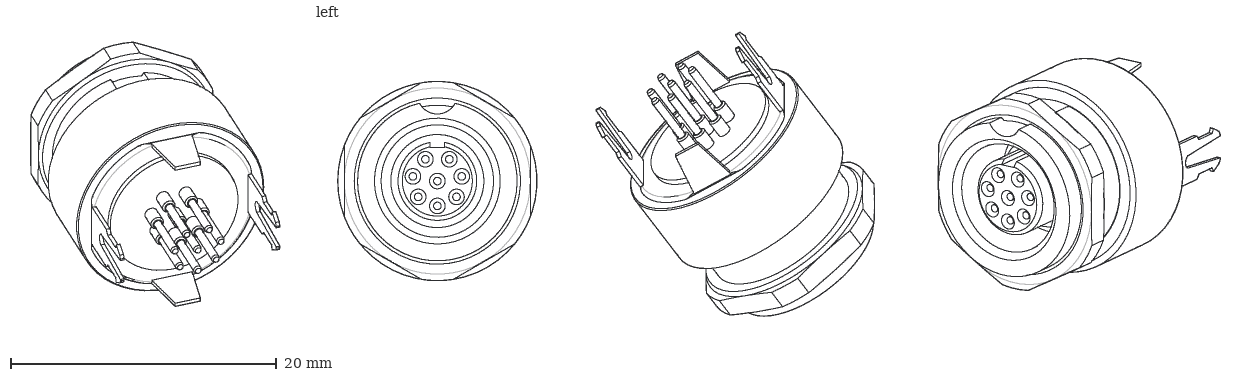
import cadquery as cq
import math


barrel_dia = 12.0
body_dia = 15.0
body_front_x = 6.6
body_rear_x = 12.9
body_edge_chamfer = 0.1
seal_cord_dia = 1.0
seal_front_x = 6.3

keyway_radius = 1.5
keyway_bottom_z = 5.04

bore_dia = 8.46
bore_chamfer = 0.5
bore_depth = 6.0
floor_step_dia = 7.0
floor_step_height = 1.0

insert_dia = 5.92
insert_face_x = 0.5
insert_face_dia = 5.27
insert_chamfer_length = 0.33
insert_notch_width = 1.11
insert_notch_floor_z = 2.53

contact_circle_radius = 1.87
outer_contact_count = 7
outer_contact_pitch = 50.4
socket_mouth_dia = 1.17
socket_hole_dia = 0.57
socket_cone_depth = 0.3
socket_depth = 4.0
socket_tip_angle = 118
pin_collar_dia = 1.0
pin_collar_end_x = 15.1
pin_collar_chamfer = 0.13
pin_dia = 0.6
pin_end_x = 18.94
pin_tip_length = 0.2
pin_tip_inset = 0.07

nut_front_x = 1.4
nut_hex_length = 1.7
nut_flats = 14.0
nut_corner_dia = 15.0
nut_edge_chamfer_length = 0.08
nut_collar_length = 0.34
nut_collar_end_dia = 13.58
nut_bore_dia = 11.4
nut_countersink_dia = 12.5
nut_countersink_angle = 120

plate_dia = 13.5
plate_thickness = 0.3
plate_rear_radius = 0.295
plate_flats = 12.78
plate_bend_radius = 0.17
tab_thickness = 0.3
plate_rear_x = body_rear_x + plate_thickness

tapered_tab_end_x = 16.65
tapered_tab_root_half = 1.62
tapered_tab_end_half = 1.01

fork_half_width = 1.72
fork_end_x = 19.35
fork_neck_half_width = 1.37
fork_shoulder_x = 16.26
fork_neck_start_x = 16.56
fork_neck_end_x = 18.28
fork_barb_x = 18.45
fork_nose_x = 19.2
fork_nose_half_width = 1.27
fork_tip_outer_half = 1.0
fork_slot_bottom_x = 14.76
fork_slot_start_x = 15.08
fork_slot_start_half = 0.49
fork_slot_end_half = 0.87

insulator_dia = 10.25
insulator_rear_x = 13.66


def cylinder(dia, start_x, end_x, y=0, z=0):
    """Cylinder along X between two stations."""
    disc = cq.Workplane("YZ", origin=(start_x, y, z)).circle(dia / 2)
    return disc.extrude(end_x - start_x)


def revolve_profile(points):
    """Solid of revolution about X from (x, radius) points."""
    axis_start = (0, 0, 0)
    axis_end = (1, 0, 0)
    return cq.Workplane("XY").polyline(points).close().revolve(360, axis_start, axis_end)


def contact_positions():
    """(y, z) of the central contact and of the outer contacts, which spread evenly from the bottom."""
    positions = [(0, 0)]
    half_span = outer_contact_pitch * (outer_contact_count - 1) / 2
    first_angle = -90 - half_span
    for index in range(outer_contact_count):
        angle = math.radians(first_angle + index * outer_contact_pitch)
        y = contact_circle_radius * math.cos(angle)
        z = contact_circle_radius * math.sin(angle)
        positions.append((y, z))
    return positions


def make_shell():
    barrel = cylinder(barrel_dia, 0, body_front_x)
    keyway_z = keyway_bottom_z + keyway_radius
    barrel = barrel.cut(cylinder(2 * keyway_radius, 0, body_front_x, z=keyway_z))

    body = cylinder(body_dia, body_front_x, body_rear_x)
    body = body.faces(">X").chamfer(body_edge_chamfer)

    cord_radius = seal_cord_dia / 2
    ring_radius = barrel_dia / 2 + cord_radius
    cord = cq.Workplane("XY").center(seal_front_x + cord_radius, ring_radius).circle(cord_radius)
    seal = cord.revolve(360, (0, -ring_radius), (1, -ring_radius))
    return barrel.union(body).union(seal)


def make_cavity():
    bore_radius = bore_dia / 2
    step_x = bore_depth - floor_step_height
    return revolve_profile([
        (0, 0),
        (0, bore_radius + bore_chamfer),
        (bore_chamfer, bore_radius),
        (bore_depth, bore_radius),
        (bore_depth, floor_step_dia / 2),
        (step_x, floor_step_dia / 2),
        (step_x, 0),
    ])


def make_insert():
    insert = revolve_profile([
        (insert_face_x, 0),
        (insert_face_x, insert_face_dia / 2),
        (insert_face_x + insert_chamfer_length, insert_dia / 2),
        (bore_depth, insert_dia / 2),
        (bore_depth, 0),
    ])
    notch_length = bore_depth - floor_step_height - insert_face_x
    notch = cq.Workplane("XY").box(
        notch_length, insert_notch_width, insert_dia, centered=(False, True, False)
    )
    return insert.cut(notch.translate((insert_face_x, 0, insert_notch_floor_z)))


def make_socket():
    """Socket hole of one contact with its conical mouth and drill-point bottom."""
    hole_radius = socket_hole_dia / 2
    tip_length = hole_radius / math.tan(math.radians(socket_tip_angle / 2))
    return revolve_profile([
        (insert_face_x, 0),
        (insert_face_x, socket_mouth_dia / 2),
        (insert_face_x + socket_cone_depth, hole_radius),
        (insert_face_x + socket_depth, hole_radius),
        (insert_face_x + socket_depth + tip_length, 0),
    ])


def make_pin():
    """Solder pin of one contact with its collar."""
    collar_radius = pin_collar_dia / 2
    pin_radius = pin_dia / 2
    return revolve_profile([
        (body_rear_x, 0),
        (body_rear_x, collar_radius),
        (pin_collar_end_x - pin_collar_chamfer, collar_radius),
        (pin_collar_end_x, collar_radius - pin_collar_chamfer),
        (pin_collar_end_x, pin_radius),
        (pin_end_x - pin_tip_length, pin_radius),
        (pin_end_x, pin_radius - pin_tip_inset),
        (pin_end_x, 0),
    ])


def make_nut():
    hex_rear_x = nut_front_x + nut_hex_length
    nut_rear_x = hex_rear_x + nut_collar_length
    face_radius = nut_flats / 2
    corner_radius = nut_corner_dia / 2
    bore_radius = nut_bore_dia / 2
    countersink_radius = nut_countersink_dia / 2
    half_angle = math.radians(nut_countersink_angle / 2)
    countersink_depth = (countersink_radius - bore_radius) / math.tan(half_angle)

    turned = revolve_profile([
        (nut_front_x, countersink_radius),
        (nut_front_x, face_radius),
        (nut_front_x + nut_edge_chamfer_length, corner_radius),
        (hex_rear_x - nut_edge_chamfer_length, corner_radius),
        (hex_rear_x, face_radius),
        (nut_rear_x, nut_collar_end_dia / 2),
        (nut_rear_x, bore_radius),
        (nut_front_x + countersink_depth, bore_radius),
    ])
    hex_diameter = nut_flats / math.cos(math.pi / 6)
    hexagon = cq.Workplane("YZ", origin=(nut_front_x, 0, 0))
    hexagon = hexagon.transformed(rotate=(0, 0, 90)).polygon(6, hex_diameter)
    return turned.intersect(hexagon.extrude(nut_rear_x - nut_front_x))


def make_ground_plate():
    plate = cylinder(plate_dia, body_rear_x, plate_rear_x)
    plate = plate.faces(">X").edges().fillet(plate_rear_radius)
    block = cq.Workplane("YZ", origin=(body_rear_x, 0, 0)).rect(plate_flats, plate_flats)
    block = block.extrude(plate_thickness).faces("<X").edges().fillet(plate_bend_radius)
    return plate.intersect(block)


def make_tapered_tab():
    """Tapered tab on the +Z side of the ground plate."""
    root_x = plate_rear_x - plate_rear_radius / 2
    outer_z = plate_flats / 2
    profile = cq.Workplane("XY", origin=(0, 0, outer_z)).polyline([
        (root_x, -tapered_tab_root_half),
        (plate_rear_x, -tapered_tab_root_half),
        (tapered_tab_end_x, -tapered_tab_end_half),
        (tapered_tab_end_x, tapered_tab_end_half),
        (plate_rear_x, tapered_tab_root_half),
        (root_x, tapered_tab_root_half),
    ])
    return profile.close().extrude(-tab_thickness)


def make_fork_tab():
    """Forked snap-in tab on the -Y side of the ground plate."""
    root_x = plate_rear_x - plate_rear_radius / 2
    upper_edge = [
        (root_x, fork_half_width),
        (fork_shoulder_x, fork_half_width),
        (fork_neck_start_x, fork_neck_half_width),
        (fork_neck_end_x, fork_neck_half_width),
        (fork_barb_x, fork_half_width),
        (fork_nose_x, fork_nose_half_width),
        (fork_end_x, fork_tip_outer_half),
        (fork_end_x, fork_slot_end_half),
        (fork_slot_start_x, fork_slot_start_half),
    ]
    lower_edge = [(x, -z) for x, z in reversed(upper_edge)]
    profile = cq.Workplane("XZ", origin=(0, -plate_flats / 2, 0)).polyline(upper_edge)
    profile = profile.threePointArc((fork_slot_bottom_x, 0), lower_edge[0])
    for point in lower_edge[1:]:
        profile = profile.lineTo(*point)
    return profile.close().extrude(-tab_thickness)


def make_connector():
    connector = make_shell().cut(make_cavity()).union(make_insert())
    connector = connector.union(make_nut()).union(make_ground_plate())
    connector = connector.union(cylinder(insulator_dia, body_rear_x, insulator_rear_x))

    for tab in (make_tapered_tab(), make_fork_tab()):
        connector = connector.union(tab)
        connector = connector.union(tab.rotate((0, 0, 0), (1, 0, 0), 180))

    for y, z in contact_positions():
        connector = connector.cut(make_socket().translate((0, y, z)))
        connector = connector.union(make_pin().translate((0, y, z)))
    return connector


result = make_connector()